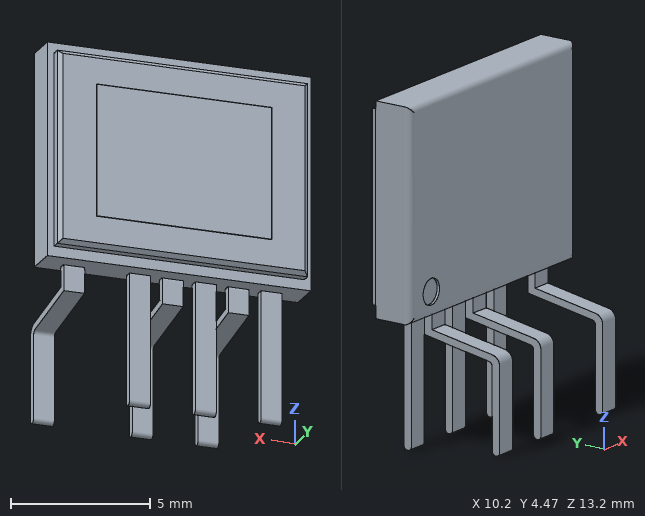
import cadquery as cq
import math

total_depth = 4.47
total_height = 13.2

body_width = 10.16
body_bottom = 5.02
body_height = total_height - body_bottom
body_front = 2.4
body_back = 3.95
body_edge_radius = 0.28

plate_margin_x = 0.26
plate_margin_z = 0.4
plate_back = 4.42
plate_chamfer = 0.16
pad_width = 6.73
pad_height = 5.04

pitch = 1.27
straight_slots = (-3, -1, 1)
bent_slots = (-2, 0, 3)
lead_width = 0.8
lead_thickness = 0.33
lead_front = 3.0
lead_back = lead_front + lead_thickness
lead_end_radius = 0.16
lead_embed = 0.66
stub_overlap = 0.04

slope = math.tan(math.radians(10))
slope_top = 4.25
slope_drop = 0.3
outer_bend_radius = 0.38
inner_bend_radius = 0.17

mark_diameter = 1.0
mark_depth = 0.1
mark_x = -3 * pitch
mark_height = 0.98

body_center_z = body_bottom + body_height / 2


def block(width, height, front, back):
    """Block centred on the body in X and Z, between two Y positions."""
    depth = back - front
    return cq.Workplane("XY").box(width, depth, height).translate((0, front + depth / 2, body_center_z))


def make_body():
    body = block(body_width, body_height, body_front, body_back)
    body = body.faces("<Y").edges().fillet(body_edge_radius)
    mark = (
        cq.Workplane("XZ", origin=(mark_x, body_front + mark_depth, body_bottom + mark_height))
        .circle(mark_diameter / 2)
        .extrude(mark_depth)
    )
    return body.cut(mark)


def make_back_plate():
    plate = block(body_width - 2 * plate_margin_x, body_height - 2 * plate_margin_z, body_back, plate_back)
    plate = plate.faces(">Y").edges().chamfer(plate_chamfer)
    return plate.union(block(pad_width, pad_height, plate_back, total_depth))


def extrude_lead(outline, slot):
    """Extrude a YZ outline to the lead width, centred on a slot of the lead row."""
    profile = cq.Workplane("YZ", origin=(slot * pitch, 0, 0)).polyline(outline).close()
    return profile.extrude(lead_width / 2, both=True)


def make_straight_lead(slot):
    top = body_bottom + lead_embed
    outline = [(lead_front, 0), (lead_back, 0), (lead_back, top), (lead_front, top)]
    return extrude_lead(outline, slot).faces("<Z").edges("|X").fillet(lead_end_radius)


def make_bent_lead(slot):
    def slope_z(y):
        return slope_top - slope * (lead_front - y)

    stub_top = body_bottom + stub_overlap
    outer_corner = (0, slope_z(0))
    inner_corner = (lead_thickness, slope_z(lead_thickness) - slope_drop)
    outline = [
        (0, 0),
        outer_corner,
        (lead_front, slope_top),
        (lead_front, stub_top),
        (lead_back, stub_top),
        (lead_back, slope_z(lead_back) - slope_drop),
        inner_corner,
        (lead_thickness, 0),
    ]
    lead = extrude_lead(outline, slot)
    for corner, radius in ((outer_corner, outer_bend_radius), (inner_corner, inner_bend_radius)):
        bend_point = (slot * pitch, *corner)
        lead = lead.edges(cq.selectors.NearestToPointSelector(bend_point)).fillet(radius)
    lead = lead.faces("<Z").edges("|X").fillet(lead_end_radius)
    return lead.faces(">Z").edges("|X").fillet(lead_end_radius)


result = make_body().union(make_back_plate())
for slot in straight_slots:
    result = result.union(make_straight_lead(slot))
for slot in bent_slots:
    result = result.union(make_bent_lead(slot))